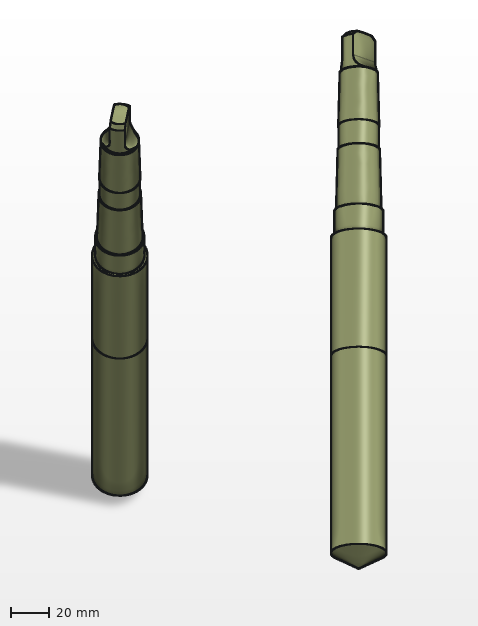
import cadquery as cq
import math

LENGTH = 296.0
BODY_RADIUS = 29.0 / 2
POINT_ANGLE = 118.0

JOINT_Z = 117.8
BODY_TOP_Z = 183.2
COLLAR_TOP_Z = 197.7
RELIEF_BOTTOM_Z = 231.8
RELIEF_TOP_Z = 245.0
TANG_BASE_Z = 274.5

COLLAR_RADIUS = 25.8 / 2
RELIEF_RADIUS = 21.3 / 2
TAPER_LARGE_RADIUS = 12.0
TAPER_SLOPE = 0.025

TANG_RADIUS = 9.32
TANG_THICKNESS = 8.0
TANG_ANGLE = 30.0
SHOULDER_RISE = 0.5
TANG_CHAMFER_WIDTH = 2.5
TANG_CHAMFER_HEIGHT = 2.5
TANG_CROWN = 0.5
FLAT_BOTTOM_Z = 281.5
RUNOUT_RADIUS = 7.0


def taper_radius(z):
    """Radius of the tapered shank at height z."""
    return TAPER_LARGE_RADIUS - TAPER_SLOPE * (z - COLLAR_TOP_Z)


def revolve_profile(points):
    """Solid of revolution about Z from (radius, height) points."""
    return cq.Workplane("XZ").polyline(points).close().revolve(360, (0, 0), (0, 1))


def make_cutting_end():
    """Cylindrical lower body with a conical point."""
    point_height = BODY_RADIUS / math.tan(math.radians(POINT_ANGLE / 2))
    return revolve_profile([
        (0, 0),
        (BODY_RADIUS, point_height),
        (BODY_RADIUS, JOINT_Z),
        (0, JOINT_Z),
    ])


def make_flat_cutter():
    """Side cutter for one tang flat, with a concave quarter-round runout at its foot."""
    flat_x = TANG_THICKNESS / 2
    outer_x = flat_x + RUNOUT_RADIUS
    arc_offset = RUNOUT_RADIUS * math.sqrt(0.5)
    arc_middle = (outer_x - arc_offset, FLAT_BOTTOM_Z - arc_offset)
    return (
        cq.Workplane("XZ")
        .moveTo(flat_x, LENGTH)
        .lineTo(flat_x, FLAT_BOTTOM_Z)
        .threePointArc(arc_middle, (outer_x, FLAT_BOTTOM_Z - RUNOUT_RADIUS))
        .lineTo(outer_x, LENGTH)
        .close()
        .extrude(BODY_RADIUS, both=True)
    )


def make_shank():
    """Tapered shank with its collar, relief groove and flattened tang."""
    crown_base_z = LENGTH - TANG_CROWN
    shank = revolve_profile([
        (0, JOINT_Z),
        (BODY_RADIUS, JOINT_Z),
        (BODY_RADIUS, BODY_TOP_Z),
        (COLLAR_RADIUS, BODY_TOP_Z),
        (COLLAR_RADIUS, COLLAR_TOP_Z),
        (TAPER_LARGE_RADIUS, COLLAR_TOP_Z),
        (taper_radius(RELIEF_BOTTOM_Z), RELIEF_BOTTOM_Z),
        (RELIEF_RADIUS, RELIEF_BOTTOM_Z),
        (RELIEF_RADIUS, RELIEF_TOP_Z),
        (taper_radius(RELIEF_TOP_Z), RELIEF_TOP_Z),
        (taper_radius(TANG_BASE_Z), TANG_BASE_Z),
        (TANG_RADIUS, TANG_BASE_Z + SHOULDER_RISE),
        (TANG_RADIUS, crown_base_z - TANG_CHAMFER_HEIGHT),
        (TANG_RADIUS - TANG_CHAMFER_WIDTH, crown_base_z),
        (0, LENGTH),
    ])
    cutter = make_flat_cutter()
    for side_angle in (TANG_ANGLE, TANG_ANGLE + 180):
        shank = shank.cut(cutter.rotate((0, 0, 0), (0, 0, 1), side_angle))
    return shank


cutting_end = make_cutting_end()
shank = make_shank()

result = cq.Compound.makeCompound([cutting_end.val(), shank.val()])